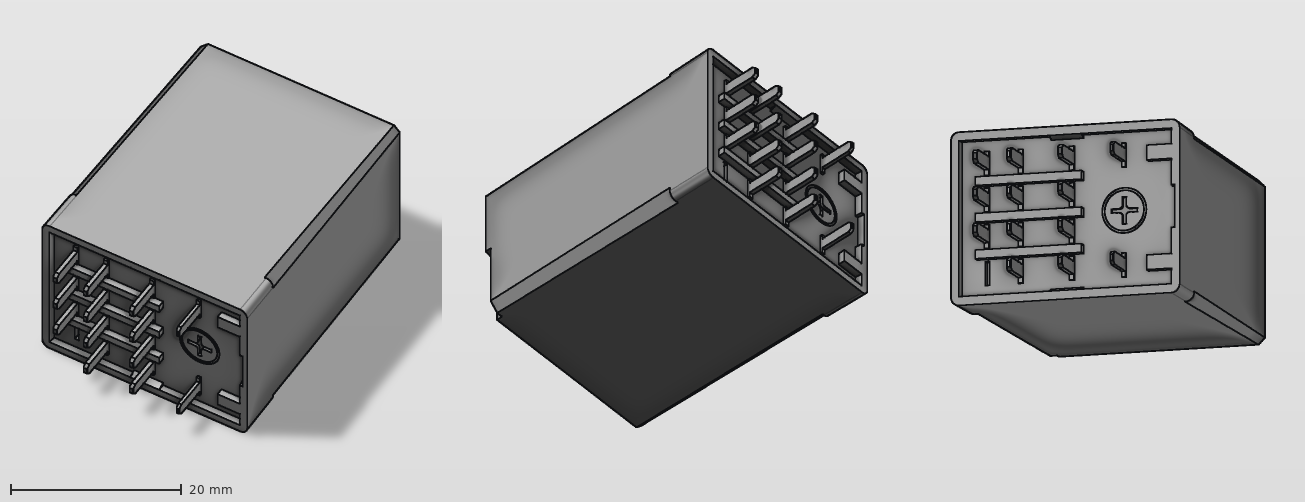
import cadquery as cq


front_width = 28.0
front_height = 20.7
cover_length = 35.25
side_draft = 0.4
top_draft = 0.55
corner_radius = 1.0
bevel_start = 6.0

even_bevel = (1.0, 1.0)
right_bevel = (1.15, 0.8)
lower_left_bevel = (1.43, 1.15)

recess_width = 26.0
recess_height = 18.58
recess_depth = 0.9
recess_wall_slope = 0.1
notch_depth = 0.4
notch_height = 5.1
hook_length = 3.97
hook_reach = 0.4
tab_height = 1.75
tab_left = 9.95

row_pitch = 4.35
rows = [row_pitch * step for step in (-1.5, -0.5, 0.5, 1.5)]
left_column = -9.8
wide_columns = [left_column, -5.68, 0.6]
narrow_column = 6.95
wide_pin = 0.55
narrow_pin = 0.45
pin_height = 1.55
pin_reach = 4.05
tip_length = 0.5
tip_height = 0.75
tip_bevel_length = 0.1
tip_bevel = 0.1
shoulder_rise = 0.3
slot_height = 2.85
slot_depth = 0.8

bar_left = -11.05
bar_right = 2.0
bar_height = 1.05

screw_hole_diameter = 5.4
screw_diameter = 4.8
screw_groove_depth = 0.08
cross_length = 3.2
cross_width = 0.48
cross_fillet = 0.4
cross_depth = 0.4

button_side = 3.0
button_rise = 0.4
button_x = 8.5
button_z = 5.0
step_depth = 0.8
step_radius = 2.0
step_top = -0.1


def box(x_range, y_range, z_range):
    """Axis-aligned block between the given limits."""
    x0, x1 = x_range
    y0, y1 = y_range
    z0, z1 = z_range
    return cq.Workplane("XY").box(x1 - x0, y1 - y0, z1 - z0, centered=False).translate((x0, y0, z0))


def facing_front(y):
    """Sketch plane at the given y, with local x along X and local y along Z."""
    return cq.Workplane("XZ", origin=(0, y, 0))


def half_width(y):
    return front_width / 2 - side_draft * y / cover_length


def half_height(y):
    return front_height / 2 - top_draft * y / cover_length


def tapered_block(y_front, y_back):
    """Length of the drafted cover between two positions along Y, with sharp corners."""
    return (
        facing_front(y_front)
        .rect(2 * half_width(y_front), 2 * half_height(y_front))
        .workplane(offset=y_front - y_back)
        .rect(2 * half_width(y_back), 2 * half_height(y_back))
        .loft(ruled=True)
    )


def corner_bevel(x_sign, z_sign, front_leg, back_leg):
    """Wedge that cuts one long corner of the cover flat."""

    def triangle(y, leg):
        x = x_sign * half_width(y)
        z = z_sign * half_height(y)
        corners = [(x, y, z), (x - x_sign * leg, y, z), (x, y, z - z_sign * leg)]
        return cq.Wire.makePolygon([cq.Vector(*corner) for corner in corners], close=True)

    wedge = cq.Solid.makeLoft([triangle(bevel_start, front_leg), triangle(cover_length, back_leg)], True)
    return cq.Workplane(wedge)


def make_cover():
    """Drafted cover with rounded corners at the front and bevelled ones behind."""
    front = tapered_block(0, bevel_start).edges("not(|X or |Z)").fillet(corner_radius)
    back = tapered_block(bevel_start, cover_length)
    for x_sign, z_sign, bevel in (
        (-1, 1, even_bevel),
        (1, 1, right_bevel),
        (1, -1, right_bevel),
        (-1, -1, lower_left_bevel),
    ):
        back = back.cut(corner_bevel(x_sign, z_sign, *bevel))
    return front.union(back)


def make_recess():
    """Cavity with leaning side walls, a notch on the right, two corner tabs and two hooks left standing."""
    half = recess_width / 2
    floor_half = half - recess_wall_slope

    def cavity(right_extra, height):
        outline = [
            (-half, 0),
            (half + right_extra, 0),
            (floor_half + right_extra, recess_depth),
            (-floor_half, recess_depth),
        ]
        return cq.Workplane("XY").polyline(outline).close().extrude(height / 2, both=True)

    recess = cavity(0, recess_height).union(cavity(notch_depth, notch_height))
    for row in (rows[0], rows[-1]):
        tab_limits = (row - tab_height / 2, row + tab_height / 2)
        recess = recess.cut(box((tab_left, half), (0, recess_depth), tab_limits))

    wall = recess_height / 2
    for side in (-1, 1):
        profile = [
            (0, side * wall),
            (recess_depth, side * wall),
            (recess_depth, side * (wall - hook_reach)),
        ]
        hook = cq.Workplane("YZ").polyline(profile).close().extrude(hook_length / 2, both=True)
        recess = recess.cut(hook)
    return recess


def make_pin(x, z, width):
    """Blade on a low shoulder, narrowing to its tip in height and bevelled on both sides of the tip."""
    root = recess_depth + slot_depth

    def blade_outline(half, tip_half, taper_length):
        """Symmetric outline running along Y, straight up to the taper at the tip."""
        taper_start = taper_length - pin_reach
        return [
            (root, half),
            (taper_start, half),
            (-pin_reach, tip_half),
            (-pin_reach, -tip_half),
            (taper_start, -half),
            (root, -half),
        ]

    side_outline = blade_outline(pin_height / 2, tip_height / 2, tip_length)
    top_outline = blade_outline(width / 2, width / 2 - tip_bevel, tip_bevel_length)
    side = cq.Workplane("YZ").polyline(side_outline).close().extrude(width / 2, both=True)
    top = cq.Workplane("XY").polyline([(across, along) for along, across in top_outline]).close()
    blade = side.intersect(top.extrude(pin_height / 2, both=True))
    shoulder = box(
        (-width / 2, width / 2),
        (recess_depth - shoulder_rise, root),
        (-slot_height / 2, slot_height / 2),
    )
    return blade.union(shoulder).translate((x, 0, z))


def make_slot(x, z, width):
    """Blind slot for a terminal."""
    return box(
        (x - width / 2, x + width / 2),
        (recess_depth, recess_depth + slot_depth),
        (z - slot_height / 2, z + slot_height / 2),
    )


def make_screw_cut():
    """Ring groove around the screw head and the cross recess in the head."""
    floor = facing_front(recess_depth).center(narrow_column, 0)
    groove = floor.circle(screw_hole_diameter / 2).circle(screw_diameter / 2).extrude(-screw_groove_depth)
    cross = (
        floor.rect(cross_length, cross_width).extrude(-cross_depth)
        .union(floor.rect(cross_width, cross_length).extrude(-cross_depth))
    )
    inner_corners = cq.selectors.BoxSelector(
        (narrow_column - cross_width, 0, -cross_width),
        (narrow_column + cross_width, cover_length, cross_width),
    )
    cross = cross.edges("|Y").edges(inner_corners).fillet(cross_fillet)
    return groove.union(cross)


def make_back_step():
    """Lower left part of the back end, ending in a round inner corner."""
    inner = -half_width(cover_length) + step_radius
    outer = -front_width / 2
    bottom = -front_height / 2
    return (
        facing_front(cover_length - step_depth)
        .moveTo(outer, bottom)
        .lineTo(inner, bottom)
        .lineTo(inner, step_top - step_radius)
        .radiusArc((inner - step_radius, step_top), -step_radius)
        .lineTo(outer, step_top)
        .close()
        .extrude(-step_depth)
    )


body = make_cover().cut(make_recess()).cut(make_screw_cut()).cut(make_back_step())

for gap in (-1, 0, 1):
    middle = gap * row_pitch
    bar = box(
        (bar_left, bar_right),
        (0, recess_depth),
        (middle - bar_height / 2, middle + bar_height / 2),
    )
    body = body.union(bar)

terminals = [(x, z, wide_pin) for x in wide_columns for z in rows]
terminals += [(narrow_column, z, narrow_pin) for z in (rows[0], rows[-1])]
empty_terminal = (left_column, rows[0], wide_pin)

for terminal in terminals:
    if terminal == empty_terminal:
        body = body.cut(make_slot(*terminal))
    else:
        body = body.union(make_pin(*terminal))

button = (
    facing_front(cover_length)
    .center(button_x, button_z)
    .rect(button_side, button_side)
    .extrude(-button_rise)
)
result = body.union(button)